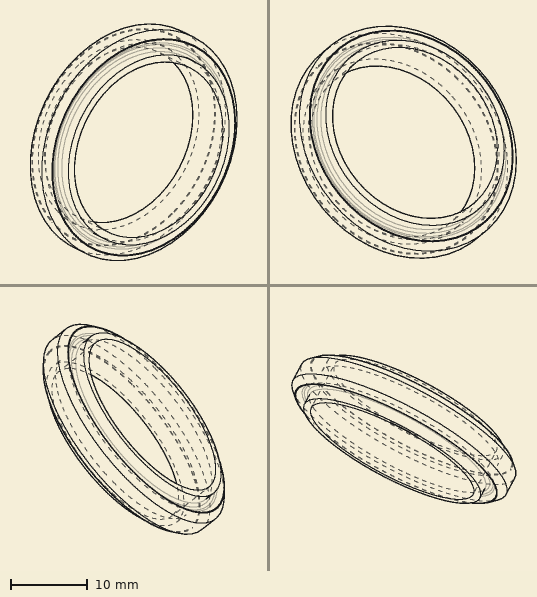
import cadquery as cq
import math

bore_diameter = 24.0
sleeve_diameter = 26.0
sleeve_width = 6.7

rim_diameter = 31.6
flange_width = 4.45
rim_bevel = 0.95

face_land = 0.13
groove_depth = 0.73
groove_fillet = 0.38

SLOPE = math.radians(45)

bore_radius = bore_diameter / 2
sleeve_radius = sleeve_diameter / 2
rim_radius = rim_diameter / 2
half_sleeve = sleeve_width / 2
half_flange = flange_width / 2

groove_floor_x = half_flange - groove_depth
groove_mouth_radius = rim_radius - rim_bevel - face_land

fillet_center_x = groove_floor_x + groove_fillet
wall_start_x = fillet_center_x - groove_fillet * math.cos(SLOPE)
wall_start_radius = groove_mouth_radius - (half_flange - wall_start_x) * math.tan(SLOPE)
floor_outer_radius = wall_start_radius - groove_fillet * math.sin(SLOPE)


def arc_point(center_radius, angle):
    """Point on a groove fillet, at an angle from the floor towards the outside."""
    return (
        fillet_center_x - groove_fillet * math.cos(angle),
        center_radius + groove_fillet * math.sin(angle),
    )


def make_blank():
    """Plain ring of full width and full diameter, centred on the middle plane."""
    return (
        cq.Workplane("YZ", origin=(-half_sleeve, 0, 0))
        .circle(rim_radius)
        .circle(bore_radius)
        .extrude(sleeve_width)
    )


def make_side_cutter():
    """Material removed on the +X side: around the sleeve, in the groove and off the bevel.

    The section lies in the XY plane, where X is the axis and Y is the radius.
    """
    sleeve_fillet_center = sleeve_radius + groove_fillet
    return (
        cq.Workplane("XY")
        .moveTo(half_sleeve, sleeve_radius)
        .lineTo(fillet_center_x, sleeve_radius)
        .threePointArc(
            arc_point(sleeve_fillet_center, -math.pi / 4),
            (groove_floor_x, sleeve_fillet_center),
        )
        .lineTo(groove_floor_x, floor_outer_radius)
        .threePointArc(
            arc_point(floor_outer_radius, SLOPE / 2),
            (wall_start_x, wall_start_radius),
        )
        .lineTo(half_flange, groove_mouth_radius)
        .lineTo(half_flange, rim_radius - rim_bevel)
        .lineTo(half_flange - rim_bevel, rim_radius)
        .lineTo(half_sleeve, rim_radius)
        .close()
        .revolve(360, (0, 0, 0), (1, 0, 0))
    )


side_cutter = make_side_cutter()
result = make_blank().cut(side_cutter).cut(side_cutter.mirror("YZ"))